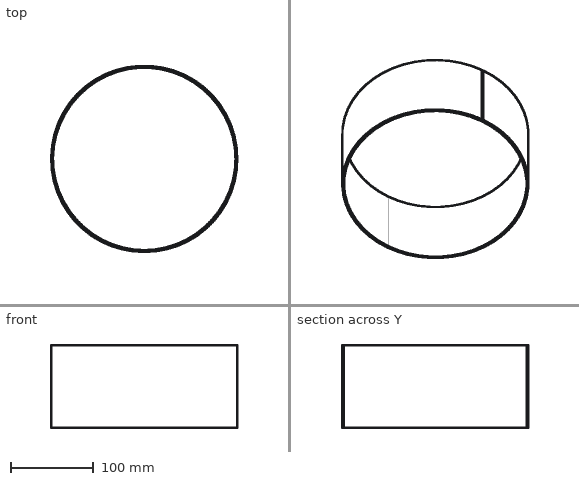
import cadquery as cq
import math

outer_diameter = 225.0
wall_thickness = 2.5
band_height = 100.0
outer_chamfer = 0.5
inner_chamfer = 0.2
gap_angle = 1.0

outer_radius = outer_diameter / 2
inner_radius = outer_radius - wall_thickness


def make_band():
    """Closed band on the Z axis, with the outer and inner edges of both rims chamfered."""
    band = cq.Workplane("XY").circle(outer_radius).extrude(band_height)
    band = band.faces("<Z or >Z").edges().chamfer(outer_chamfer)
    band = band.cut(cq.Workplane("XY").circle(inner_radius).extrude(band_height))
    inner_edges = band.faces("<Z or >Z").edges(cq.selectors.RadiusNthSelector(0))
    return inner_edges.chamfer(inner_chamfer)


def make_gap_cutter():
    """Wedge from the Z axis through the wall, from the -X direction round toward +Y, with radial sides."""
    wedge_length = outer_diameter
    gap_end_y = wedge_length * math.tan(math.radians(gap_angle))
    return (
        cq.Workplane("XY")
        .polyline([(0, 0), (-wedge_length, 0), (-wedge_length, gap_end_y)])
        .close()
        .extrude(band_height)
    )


result = make_band().cut(make_gap_cutter())